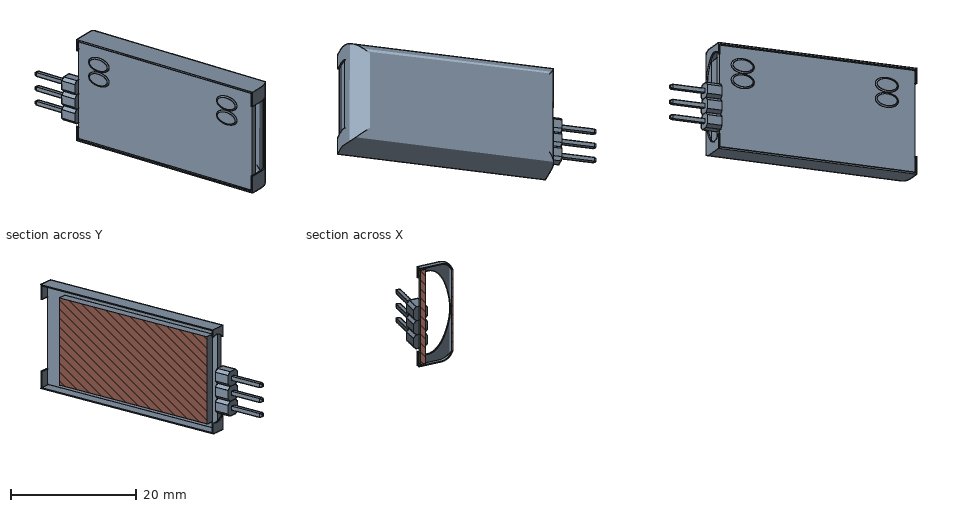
import cadquery as cq


TOTAL_LENGTH = 42.7
HOUSING_LEFT = 8.25
HOUSING_DEPTH = 6.1
HOUSING_HEIGHT = 17.8
WALL = 0.25
LEFT_RADIUS = 1.2
RIGHT_RADIUS = 3.75
SIDE_RADIUS = 2.2

OPENING_Y = 1.8
OPENING_Z = 0.3
OPENING_HALF_HEIGHT = 7.5

NOTCH_Z = 0.2
NOTCH_HEIGHT = 12.3
NOTCH_DEPTH = 3.65

BOARD_RECESS = 0.15
BOARD_THICKNESS = 1.02
BOARD_SIDE_GAP = 0.13
BLOCK_HEIGHT = 14.95
BLOCK_BACK_GAP = 0.2

BUMP_HALF_LENGTH = 2.0
BUMP_HALF_HEIGHT = 1.25
BUMP_BEVEL = 0.25
BUMP_COLUMNS = (12.5, 37.55)
BUMP_TOP_Z = 5.5

PIN_COUNT = 3
INSULATOR_WIDTH = 2.5
INSULATOR_GAP = 0.02
INSULATOR_LEFT = 5.95
INSULATOR_CHAMFER = 0.5
HEADER_OVERHANG = 0.8
HEADER_Z = -1.95
PIN_WIDTH = 0.7
PIN_TIP_LENGTH = 0.35
PIN_TIP_INSET = 0.13

inner_left = HOUSING_LEFT + WALL
inner_right = TOTAL_LENGTH - WALL
inner_back = HOUSING_DEPTH - WALL
board_back = BOARD_RECESS + BOARD_THICKNESS
block_back = inner_back - BLOCK_BACK_GAP
pitch = INSULATOR_WIDTH + INSULATOR_GAP
header_y = INSULATOR_WIDTH / 2 - HEADER_OVERHANG


def box(x_range, y_range, z_range):
    """Box between two limits on each axis."""
    limits = (x_range, y_range, z_range)
    sizes = [high - low for low, high in limits]
    low_corner = [low for low, high in limits]
    return cq.Workplane("XY").box(*sizes, centered=False).translate(tuple(low_corner))


def rounded_block(inset):
    """Housing form moved inwards by inset: the long profile crossed with the end profile."""
    left = HOUSING_LEFT + inset
    right = TOTAL_LENGTH - inset
    back = HOUSING_DEPTH - inset
    half_height = HOUSING_HEIGHT / 2 - inset
    left_radius = LEFT_RADIUS - inset
    right_radius = RIGHT_RADIUS - inset

    long_profile = (
        cq.Workplane("XY", origin=(0, 0, -half_height))
        .moveTo(left, 0)
        .lineTo(right, 0)
        .lineTo(right, back - right_radius)
        .radiusArc((right - right_radius, back), -right_radius)
        .lineTo(left + left_radius, back)
        .radiusArc((left, back - left_radius), -left_radius)
        .close()
        .extrude(2 * half_height)
    )
    end_profile = (
        box((left, right), (0, back), (-half_height, half_height))
        .edges("|X and >Y")
        .fillet(SIDE_RADIUS - inset)
    )
    return long_profile.intersect(end_profile)


def make_housing():
    """Shell with the oval opening cut through the full depth of its left corner rounding."""
    shell = rounded_block(0).cut(rounded_block(WALL))
    opening = (
        cq.Workplane("YZ", origin=(HOUSING_LEFT, OPENING_Y, OPENING_Z))
        .ellipse(block_back - OPENING_Y, OPENING_HALF_HEIGHT)
        .extrude(LEFT_RADIUS)
    )
    notch = box(
        (TOTAL_LENGTH - RIGHT_RADIUS, TOTAL_LENGTH),
        (0, NOTCH_DEPTH),
        (NOTCH_Z - NOTCH_HEIGHT / 2, NOTCH_Z + NOTCH_HEIGHT / 2),
    )
    return shell.cut(opening).cut(notch)


def make_board():
    half_height = HOUSING_HEIGHT / 2 - WALL - BOARD_SIDE_GAP
    return box((inner_left, inner_right), (BOARD_RECESS, board_back), (-half_height, half_height))


def make_block():
    """Component block, kept clear of the rounded inner corners of the housing."""
    return box(
        (HOUSING_LEFT + LEFT_RADIUS, TOTAL_LENGTH - RIGHT_RADIUS),
        (board_back, block_back),
        (-BLOCK_HEIGHT / 2, BLOCK_HEIGHT / 2),
    )


def make_bump(x, z):
    """Oval bump with a bevelled edge, level with the housing rim."""
    base = (
        cq.Workplane("XZ", origin=(x, board_back, z))
        .ellipse(BUMP_HALF_LENGTH, BUMP_HALF_HEIGHT)
        .extrude(board_back)
    )
    return base.faces("<Y").chamfer(BOARD_RECESS, BUMP_BEVEL)


def make_insulator(z):
    return (
        cq.Workplane("YZ", origin=(INSULATOR_LEFT, header_y, z))
        .rect(INSULATOR_WIDTH, INSULATOR_WIDTH)
        .extrude(inner_left - INSULATOR_LEFT)
        .edges("|X")
        .chamfer(INSULATOR_CHAMFER)
    )


def make_pin(z):
    """Square pin with a tapered tip."""
    shank = (
        cq.Workplane("YZ", origin=(PIN_TIP_LENGTH, header_y, z))
        .rect(PIN_WIDTH, PIN_WIDTH)
        .extrude(INSULATOR_LEFT - PIN_TIP_LENGTH)
    )
    tip_width = PIN_WIDTH - 2 * PIN_TIP_INSET
    tip = (
        cq.Workplane("YZ", origin=(0, header_y, z))
        .rect(tip_width, tip_width)
        .workplane(offset=PIN_TIP_LENGTH)
        .rect(PIN_WIDTH, PIN_WIDTH)
        .loft()
    )
    return shank.union(tip)


def make_board_assembly():
    """Board with its block, bumps and pin header, as one solid."""
    assembly = make_board().union(make_block())
    for x in BUMP_COLUMNS:
        for z in (BUMP_TOP_Z, BUMP_TOP_Z - pitch):
            assembly = assembly.union(make_bump(x, z))
    for index in range(PIN_COUNT):
        z = HEADER_Z + (index - (PIN_COUNT - 1) / 2) * pitch
        assembly = assembly.union(make_insulator(z)).union(make_pin(z))
    return assembly


housing = make_housing()
board_assembly = make_board_assembly()

result = cq.Compound.makeCompound([housing.solids().val(), board_assembly.solids().val()])